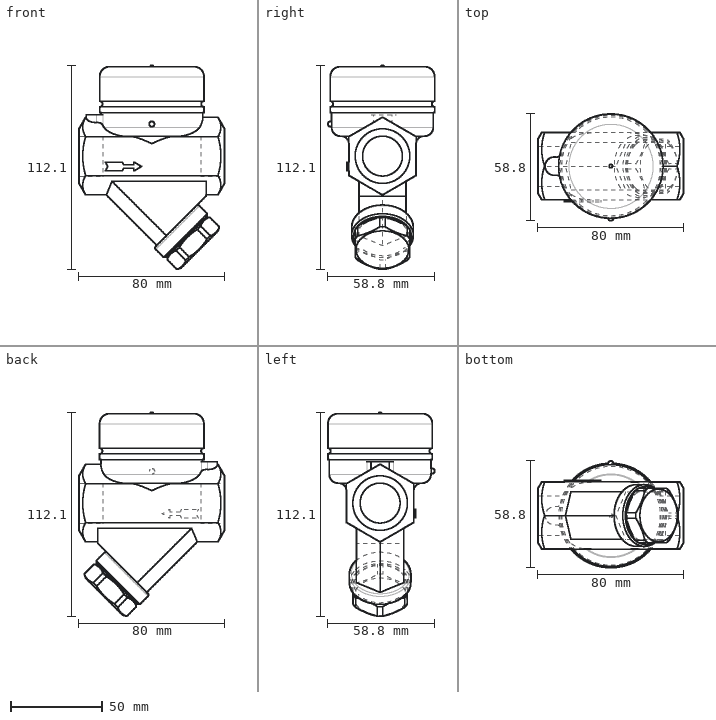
import cadquery as cq
import math

BODY_LENGTH = 80.0
BODY_FLATS = 37.0
END_FACE_DIAMETER = 30.0
CHAMFER_ANGLE = 30.0
BORE_DIAMETER = 22.0
BORE_DEPTH = 13.1

NECK_RADIUS = BODY_FLATS / 2
NECK_FILLET = 4.0
BOWL_DIAMETER = 56.0
BOWL_BOTTOM = 10.9
BOWL_FILLET = 5.0
COVER_DIAMETER = 57.5
RIM_BOTTOM = 23.9
GROOVE_HEIGHT = 28.6
GROOVE_RADIUS = 1.6
COVER_TOP = 49.2
COVER_FILLET = 5.6

SIDE_BALL_DIAMETER = 3.0
SIDE_BALL_HEIGHT = 17.6
SIDE_BALL_REACH = 30.0
TOP_BALL_DIAMETER = 2.0
TOP_BALL_REACH = 49.9

LUG_TOP = 22.7
LUG_BOTTOM = 13.5
LUG_REACH = 36.1
LUG_RADIUS = 5.0
LUG_FILLET = 3.0

ARROW_TAIL_X = -25.5
ARROW_NOTCH_X = -24.1
ARROW_SHOULDER_X = -16.2
ARROW_SHAFT_X = -15.5
ARROW_HEAD_X = -9.9
ARROW_TIP_X = -5.6
ARROW_Z = -5.7
ARROW_HALF_WIDTH = 2.5
ARROW_SHAFT_HALF_WIDTH = 1.0
ARROW_RAISE = 1.0

BRANCH_START_X = -25.1
BRANCH_SLOPE = 45.0
BRANCH_FLATS = 26.0
BRANCH_LENGTH = 54.3
WEB_END_X = 29.8

FLANGE_DIAMETER = 34.0
FLANGE_THICKNESS = 8.4
FLANGE_FILLET = 1.0
FLANGE_CHAMFER = 1.0
PLUG_HEX_FLATS = 30.0
PLUG_HEX_CORNER_DIAMETER = 33.0
PLUG_HEX_HEIGHT = 9.9
PLUG_HEX_FACE_DIAMETER = 29.0

SLOPE = math.radians(BRANCH_SLOPE)
BRANCH_AXIS = cq.Vector(math.cos(SLOPE), 0, -math.sin(SLOPE))
BRANCH_START = cq.Vector(BRANCH_START_X, 0, 0)
BRANCH_END = BRANCH_START + BRANCH_AXIS * BRANCH_LENGTH


def across_corners(flats):
    """Corner-to-corner size of a hexagon from its size across flats."""
    return flats / math.cos(math.radians(30))


def chamfered_cylinder(radius, end_radius, length):
    """Cylinder along +Z with both ends coned down to end_radius."""
    cone = (radius - end_radius) * math.tan(math.radians(CHAMFER_ANGLE))
    outline = [
        (0, 0),
        (end_radius, 0),
        (radius, cone),
        (radius, length - cone),
        (end_radius, length),
        (0, length),
    ]
    return cq.Workplane("XZ").polyline(outline).close().revolve(360, (0, 0), (0, 1))


def plane_across(origin, axis):
    """Plane normal to an axis in the XZ plane, with its local Y along world Y."""
    x_direction = cq.Vector(0, 1, 0).cross(axis)
    return cq.Plane(origin=origin, xDir=x_direction, normal=axis)


def make_hex_bar():
    """Hexagonal bar along X with coned ends and one corner pointing up."""
    start = cq.Vector(-BODY_LENGTH / 2, 0, 0)
    plane = plane_across(start, cq.Vector(1, 0, 0))
    corners = across_corners(BODY_FLATS)
    bar = cq.Workplane("XY").polygon(6, corners).extrude(BODY_LENGTH)
    bar = bar.intersect(chamfered_cylinder(corners / 2, END_FACE_DIAMETER / 2, BODY_LENGTH))
    return cq.Workplane(bar.val().moved(plane.location))


def make_dome():
    """Neck, bowl, rim, groove and rounded cover, as one turned outline."""
    bowl = BOWL_DIAMETER / 2
    cover = COVER_DIAMETER / 2
    fillet_start = BOWL_BOTTOM - NECK_FILLET
    diagonal = math.sqrt(0.5)
    return (
        cq.Workplane("XZ")
        .moveTo(0, fillet_start)
        .lineTo(NECK_RADIUS, fillet_start)
        .threePointArc(
            (NECK_RADIUS + NECK_FILLET * (1 - diagonal), fillet_start + NECK_FILLET * diagonal),
            (NECK_RADIUS + NECK_FILLET, BOWL_BOTTOM),
        )
        .lineTo(bowl - BOWL_FILLET, BOWL_BOTTOM)
        .threePointArc(
            (bowl - BOWL_FILLET * (1 - diagonal), BOWL_BOTTOM + BOWL_FILLET * (1 - diagonal)),
            (bowl, BOWL_BOTTOM + BOWL_FILLET),
        )
        .lineTo(bowl, RIM_BOTTOM)
        .lineTo(cover, RIM_BOTTOM)
        .lineTo(cover, GROOVE_HEIGHT - GROOVE_RADIUS)
        .threePointArc((cover - GROOVE_RADIUS, GROOVE_HEIGHT), (cover, GROOVE_HEIGHT + GROOVE_RADIUS))
        .lineTo(cover, COVER_TOP - COVER_FILLET)
        .threePointArc(
            (cover - COVER_FILLET * (1 - diagonal), COVER_TOP - COVER_FILLET * (1 - diagonal)),
            (cover - COVER_FILLET, COVER_TOP),
        )
        .lineTo(0, COVER_TOP)
        .close()
        .revolve(360, (0, 0), (0, 1))
    )


def make_balls():
    """Small balls partly sunk into the bowl's -Y side and the cover's top."""
    side_y = SIDE_BALL_DIAMETER / 2 - SIDE_BALL_REACH
    side = cq.Workplane("XY").sphere(SIDE_BALL_DIAMETER / 2).translate((0, side_y, SIDE_BALL_HEIGHT))
    top_z = TOP_BALL_REACH - TOP_BALL_DIAMETER / 2
    top = cq.Workplane("XY").sphere(TOP_BALL_DIAMETER / 2).translate((0, 0, top_z))
    return side.union(top)


def make_lug():
    """Round-ended lug joined to the bowl by concave arcs, tangent to both."""
    bowl = BOWL_DIAMETER / 2
    tip_x = LUG_RADIUS - LUG_REACH

    from_bowl = bowl + LUG_FILLET
    from_tip = LUG_RADIUS + LUG_FILLET
    arc_x = (from_bowl**2 - from_tip**2 + tip_x**2) / (2 * tip_x)
    arc_y = math.sqrt(from_bowl**2 - arc_x**2)

    bowl_x = arc_x * bowl / from_bowl
    bowl_y = arc_y * bowl / from_bowl
    tangent_x = tip_x + (arc_x - tip_x) * LUG_RADIUS / from_tip
    tangent_y = arc_y * LUG_RADIUS / from_tip

    toward_x = (bowl_x + tangent_x) / 2 - arc_x
    toward_y = (bowl_y + tangent_y) / 2 - arc_y
    share = LUG_FILLET / math.hypot(toward_x, toward_y)
    middle_x = arc_x + toward_x * share
    middle_y = arc_y + toward_y * share

    return (
        cq.Workplane("XY", origin=(0, 0, LUG_BOTTOM))
        .moveTo(0, bowl_y)
        .lineTo(bowl_x, bowl_y)
        .threePointArc((middle_x, middle_y), (tangent_x, tangent_y))
        .threePointArc((-LUG_REACH, 0), (tangent_x, -tangent_y))
        .threePointArc((middle_x, -middle_y), (bowl_x, -bowl_y))
        .lineTo(0, -bowl_y)
        .close()
        .extrude(LUG_TOP - LUG_BOTTOM)
    )


def make_arrow():
    """Flow arrow pointing toward +X, raised from the -Y flat."""
    upper = [
        (ARROW_TAIL_X, ARROW_HALF_WIDTH),
        (ARROW_SHOULDER_X, ARROW_HALF_WIDTH),
        (ARROW_SHAFT_X, ARROW_SHAFT_HALF_WIDTH),
        (ARROW_HEAD_X, ARROW_SHAFT_HALF_WIDTH),
        (ARROW_HEAD_X, ARROW_HALF_WIDTH),
    ]
    lower = [(x, -z) for x, z in reversed(upper)]
    outline = upper + [(ARROW_TIP_X, 0)] + lower + [(ARROW_NOTCH_X, 0)]
    flat = cq.Workplane("XZ", origin=(0, -BODY_FLATS / 2, ARROW_Z))
    return flat.polyline(outline).close().extrude(ARROW_RAISE)


def make_branch():
    """Sloping hexagonal prism with a flat-sided web that fills its upper corner."""
    prism = (
        cq.Workplane(plane_across(BRANCH_START, BRANCH_AXIS))
        .polygon(6, across_corners(BRANCH_FLATS))
        .extrude(BRANCH_LENGTH)
    )
    end_corner_z = BRANCH_END.z + (WEB_END_X - BRANCH_END.x) / math.tan(SLOPE)
    web = (
        cq.Workplane("XZ")
        .polyline(
            [
                (BRANCH_START_X, 0),
                (BRANCH_END.x, BRANCH_END.z),
                (WEB_END_X, end_corner_z),
                (WEB_END_X, 0),
            ]
        )
        .close()
        .extrude(BRANCH_FLATS / 2, both=True)
    )
    return prism.union(web)


def make_bores():
    """Blind bores in both ends of the bar."""
    end = cq.Workplane("YZ", origin=(-BODY_LENGTH / 2, 0, 0))
    left_bore = end.circle(BORE_DIAMETER / 2).extrude(BORE_DEPTH)
    return left_bore.union(left_bore.mirror("YZ"))


def make_body():
    body = make_hex_bar().union(make_branch()).union(make_dome()).union(make_lug())
    return body.union(make_balls()).union(make_arrow()).cut(make_bores())


def make_plug():
    """Round flange with a hexagonal head, seated flat on the end of the branch."""
    flange = cq.Workplane("XY").circle(FLANGE_DIAMETER / 2).extrude(FLANGE_THICKNESS)
    flange = flange.faces("<Z").edges().fillet(FLANGE_FILLET)
    flange = flange.faces(">Z").edges().chamfer(FLANGE_CHAMFER)
    hexagon = cq.Workplane("XY").polygon(6, across_corners(PLUG_HEX_FLATS)).extrude(PLUG_HEX_HEIGHT)
    turned = chamfered_cylinder(PLUG_HEX_CORNER_DIAMETER / 2, PLUG_HEX_FACE_DIAMETER / 2, PLUG_HEX_HEIGHT)
    head = hexagon.intersect(turned).translate((0, 0, FLANGE_THICKNESS))
    plug = flange.union(head)
    return cq.Workplane(plug.val().moved(plane_across(BRANCH_END, BRANCH_AXIS).location))


body = make_body()
plug = make_plug()
result = cq.Compound.makeCompound([body.val(), plug.val()])